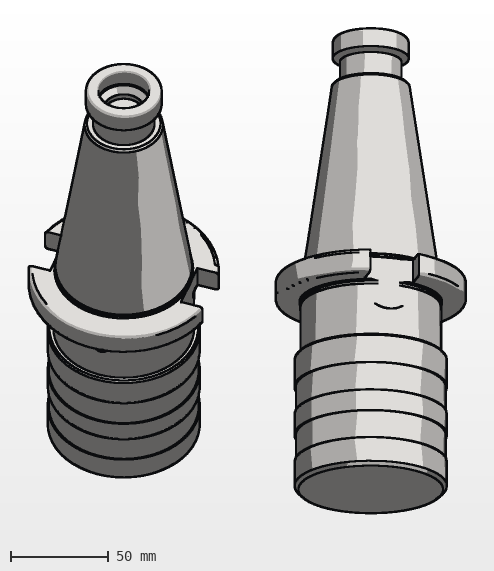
import cadquery as cq

total_height = 243.8
tool_overrun = 2.5

sleeve_radius = 39.0
sleeve_relief = 0.6
sleeve_relief_bands = ((14.9, 29.5), (40.7, 55.5))
sleeve_top = 71.2
sleeve_bottom_chamfer = 2.0
sleeve_top_chamfer = 1.0

collar_radius = 36.0
undercut_depth = 0.2
undercut_height = 2.5
undercut_radius = collar_radius - undercut_depth
flange_root_cone = 0.7

flange_radius = 48.8
flange_bottom = 101.5
flange_top = 113.5
flange_round = 2.0

taper_base_radius = 35.0
land_height = 2.2
taper_base = flange_top + land_height
taper_ratio = 7 / 24
taper_top = 219.2
taper_top_chamfer = 1.2
taper_top_radius = taper_base_radius - taper_ratio / 2 * (taper_top - taper_base)
land_radius = taper_base_radius - undercut_depth

neck_radius = 15.8
neck_top = 231.5
head_radius = 19.5
head_base = 233.5
head_round = 2.0

bore_radius = 13.0
bore_depth = 9.0
bore_mouth_round = 1.5
bore_groove_width = 2.5
bore_groove_depth = 0.7
pilot_radius = 10.2
pilot_cone_depth = 2.5
pilot_depth = 17.0

slot_width = 25.8
slot_floor = 35.4
slot_bottom = 86.0

screw_z = 91.5
screw_hole_radius = 2.5
screw_mouth_radius = 3.5
screw_recess = 2.2
socket_radius = 1.2
socket_depth = 1.5


def revolve(points):
    """Revolve a closed (radius, z) outline about the Z axis."""
    return cq.Workplane("XZ").polyline(points).close().revolve(360, (0, 0), (0, 1))


def ring(outer, inner, bottom, top):
    return cq.Workplane("XY").workplane(offset=bottom).circle(outer).circle(inner).extrude(top - bottom)


def make_sleeve():
    sleeve = cq.Workplane("XY").circle(sleeve_radius).extrude(sleeve_top)
    sleeve = sleeve.faces("<Z").chamfer(sleeve_bottom_chamfer)
    sleeve = sleeve.faces(">Z").chamfer(sleeve_top_chamfer)
    for bottom, top in sleeve_relief_bands:
        sleeve = sleeve.cut(ring(sleeve_radius + tool_overrun, sleeve_radius - sleeve_relief, bottom, top))
    return sleeve


def make_flange():
    flange = cq.Workplane("XY").workplane(offset=flange_bottom).circle(flange_radius)
    return flange.extrude(flange_top - flange_bottom).edges().fillet(flange_round)


def make_shank():
    """Collar, undercut, plain land, taper and neck as one turned core."""
    undercut_base = flange_bottom - undercut_height
    return revolve([
        (0, sleeve_top),
        (collar_radius, sleeve_top),
        (collar_radius, undercut_base),
        (undercut_radius, undercut_base + undercut_depth),
        (undercut_radius, flange_bottom - flange_root_cone),
        (undercut_radius + flange_root_cone, flange_bottom),
        (land_radius + flange_root_cone, flange_top),
        (land_radius, flange_top + flange_root_cone),
        (land_radius, taper_base - undercut_depth),
        (taper_base_radius, taper_base),
        (taper_top_radius, taper_top - taper_top_chamfer),
        (taper_top_radius - taper_top_chamfer, taper_top),
        (neck_radius, taper_top),
        (neck_radius, neck_top),
        (0, neck_top),
    ])


def make_head():
    head = revolve([
        (0, neck_top),
        (neck_radius, neck_top),
        (head_radius, head_base),
        (head_radius, total_height),
        (0, total_height),
    ])
    return head.faces(">Z").edges().fillet(head_round)


def make_bore():
    """Bore with a groove at its foot, then a cone into a smaller blind pilot."""
    groove_top = total_height - bore_depth
    groove_bottom = groove_top - bore_groove_width
    pilot_bottom = total_height - pilot_depth
    return revolve([
        (0, total_height),
        (bore_radius, total_height),
        (bore_radius, groove_top),
        (bore_radius + bore_groove_depth, groove_top - bore_groove_depth),
        (bore_radius + bore_groove_depth, groove_bottom + bore_groove_depth),
        (bore_radius, groove_bottom),
        (pilot_radius, groove_bottom - pilot_cone_depth),
        (pilot_radius, pilot_bottom),
        (0, pilot_bottom),
    ])


def make_slot(side):
    """Round-bottomed drive slot with a flat floor; side is +1 or -1 along X."""
    half_width = slot_width / 2
    outline = (
        cq.Workplane("YZ")
        .workplane(offset=side * slot_floor)
        .moveTo(half_width, flange_top)
        .lineTo(half_width, slot_bottom + half_width)
        .threePointArc((0, slot_bottom), (-half_width, slot_bottom + half_width))
        .lineTo(-half_width, flange_top)
        .close()
    )
    return outline.extrude(side * flange_radius)


def make_screw_hole():
    """Chamfered hole with a set screw recessed in it: a wide mouth, then the narrower socket."""
    depth = screw_recess + socket_depth
    chamfer = screw_mouth_radius - screw_hole_radius
    hole = revolve([
        (0, -tool_overrun),
        (screw_mouth_radius, -tool_overrun),
        (screw_mouth_radius, 0),
        (screw_hole_radius, chamfer),
        (screw_hole_radius, screw_recess),
        (socket_radius, screw_recess),
        (socket_radius, depth),
        (0, depth),
    ])
    return hole.rotate((0, 0, 0), (1, 0, 0), -90).translate((0, -collar_radius, screw_z))


result = make_sleeve().union(make_shank()).union(make_flange()).union(make_head())
result = result.cut(make_bore())
bore_mouth = cq.selectors.RadiusNthSelector(0)
result = result.faces(">Z").edges(bore_mouth).fillet(bore_mouth_round)
result = result.cut(make_screw_hole())
for side in (-1, 1):
    result = result.cut(make_slot(side))